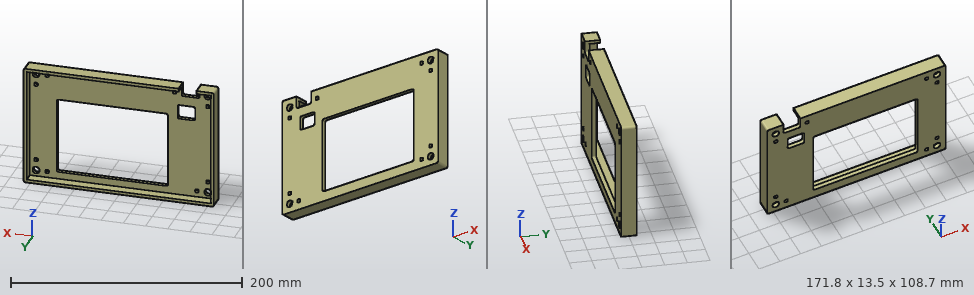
import cadquery as cq

width = 171.8
depth = 13.5
height = 108.7
corner_radius = 2.0
plate_thickness = 4.1
wall_thickness = 3.0

cutout_radius = 1.7

window_left = 44.5
window_bottom = 9.5
window_width = 100.2
window_height = 69.0

notch_left = 15.8
notch_width = 16.1
notch_depth = 11.3

port_left = 20.0
port_bottom = 75.5
port_width = 15.8
port_height = 12.9

hole_inset = 8.5
hole_diameter = 6.2
small_hole_diameter = 3.3
small_hole_spacing = 10.0
notch_side_hole_x = 38.5


def block(left, bottom, size_x, size_z, front=0):
    """Box reaching from Y = front to the open back of the shell."""
    box = cq.Workplane("XY").box(size_x, depth - front, size_z, centered=False)
    return box.translate((left, front, bottom))


def rounded_block(left, bottom, size_x, size_z, radius):
    """Full-depth box with rounded edges along Y."""
    return block(left, bottom, size_x, size_z).edges("|Y").fillet(radius)


def round_holes(centres, diameter):
    """Cylinders through the full depth at the given (X, Z) centres."""
    return cq.Workplane("XZ").pushPoints(centres).circle(diameter / 2).extrude(-depth)


shell = rounded_block(0, 0, width, height, corner_radius)
cavity_width = width - 2 * wall_thickness
cavity_height = height - 2 * wall_thickness
cavity = block(wall_thickness, wall_thickness, cavity_width, cavity_height, plate_thickness)
shell = shell.cut(cavity)

window = rounded_block(window_left, window_bottom, window_width, window_height, cutout_radius)
port = rounded_block(port_left, port_bottom, port_width, port_height, cutout_radius)
notch = rounded_block(notch_left, height - notch_depth, notch_width, 2 * notch_depth, cutout_radius)
shell = shell.cut(window).cut(port).cut(notch)

left, right = hole_inset, width - hole_inset
bottom, top = hole_inset, height - hole_inset
corner_holes = [(x, z) for x in (left, right) for z in (bottom, top)]
side_holes = [(x, z) for x in (left, right) for z in (bottom + small_hole_spacing, top - small_hole_spacing)]
edge_holes = [
    (left + small_hole_spacing, bottom),
    (right - small_hole_spacing, bottom),
    (right - small_hole_spacing, top),
    (notch_side_hole_x, top),
]
shell = shell.cut(round_holes(corner_holes, hole_diameter))
result = shell.cut(round_holes(side_holes + edge_holes, small_hole_diameter))